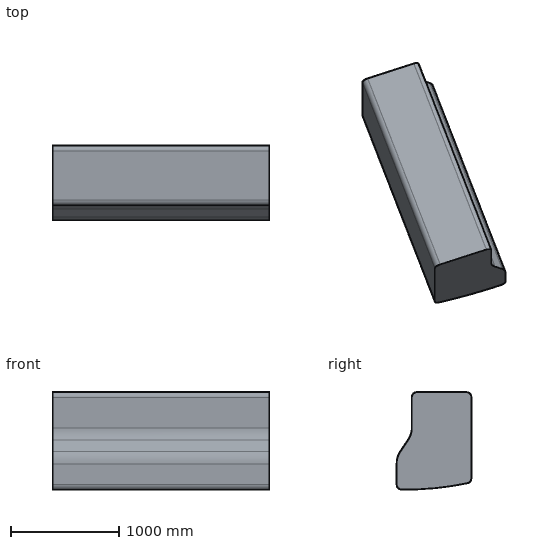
import cadquery as cq
import math

length = 2000.0
depth = 692.0
height = 902.0

setback = 140.0
lower_face_top = 242.0
upper_face_bottom = 572.0
blend_radius = 200.0

underside_radius = 2800.0
underside_low_point = 80.0
corner_radius = 50.0

front = -depth / 2
back = depth / 2
upper_front = front + setback


def underside_height(y):
    """Height of the underside arc at a given Y."""
    offset = y - (front + underside_low_point)
    return underside_radius - math.sqrt(underside_radius**2 - offset**2)


centre_gap_y = 2 * blend_radius - setback
centre_gap_z = upper_face_bottom - lower_face_top
centre_distance = math.hypot(centre_gap_y, centre_gap_z)
slope_angle = math.atan2(centre_gap_z, centre_gap_y) - math.acos(2 * blend_radius / centre_distance)


def blend_offset(angle):
    """Y and Z travelled along a blend arc from its vertical end."""
    return blend_radius * (1 - math.cos(angle)), blend_radius * math.sin(angle)


def lower_blend(angle):
    """Point on the convex blend above the lower front face."""
    dy, dz = blend_offset(angle)
    return front + dy, lower_face_top + dz


def upper_blend(angle):
    """Point on the concave blend below the upper front face."""
    dy, dz = blend_offset(angle)
    return upper_front - dy, upper_face_bottom - dz


underside_middle = (front + back) / 2

profile = (
    cq.Workplane("YZ", origin=(-length / 2, 0, 0))
    .moveTo(front, underside_height(front))
    .lineTo(front, lower_face_top)
    .threePointArc(lower_blend(slope_angle / 2), lower_blend(slope_angle))
    .lineTo(*upper_blend(slope_angle))
    .threePointArc(upper_blend(slope_angle / 2), upper_blend(0))
    .lineTo(upper_front, height)
    .lineTo(back, height)
    .lineTo(back, underside_height(back))
    .threePointArc(
        (underside_middle, underside_height(underside_middle)),
        (front, underside_height(front)),
    )
    .close()
)
body = profile.extrude(length)

corner_points = [
    (upper_front, height),
    (back, height),
    (back, underside_height(back)),
    (front, underside_height(front)),
]
for y, z in corner_points:
    body = body.edges(cq.selectors.NearestToPointSelector((0, y, z))).fillet(corner_radius)

result = body